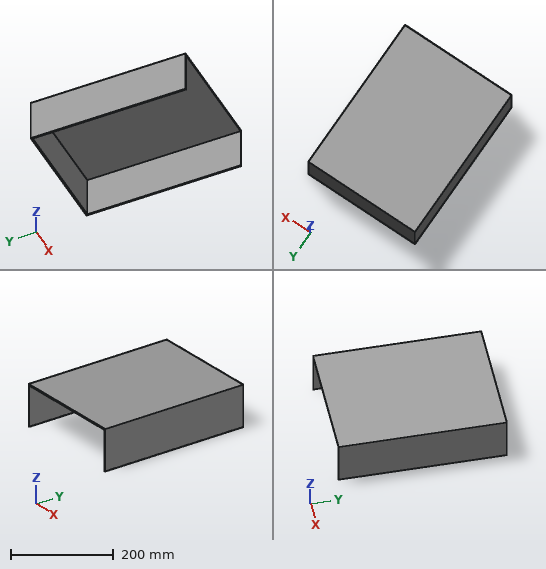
import cadquery as cq

width = 251.0
length = 334.0
height = 91.8

sheet = 3.0

envelope = cq.Workplane("XY").box(width, length, height, centered=(True, True, False))

cavity = (
    cq.Workplane("XY")
    .box(width - 2 * sheet, length - sheet, height - sheet, centered=(True, True, False))
    .translate((0, -sheet / 2, 0))
)

result = envelope.cut(cavity)